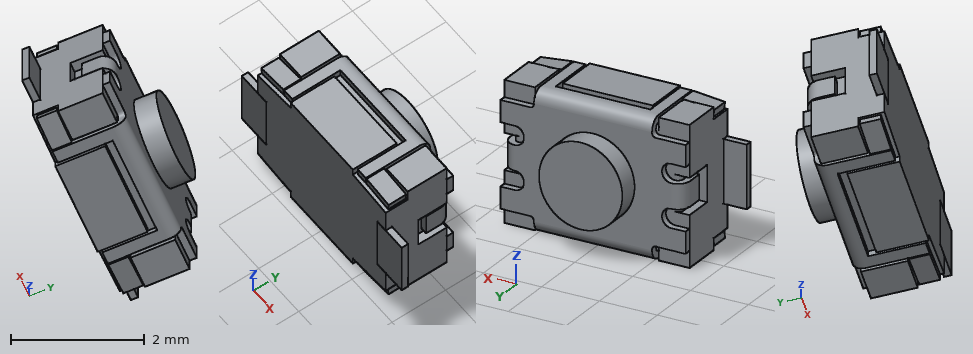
import cadquery as cq
import math


base_width = 3.2
base_height = 2.37
base_depth = 1.145
sheet = 0.12
bend_radius = 0.21

button_radius = 0.72
button_length = 0.37

terminal_tip_x = 2.0
terminal_length = 0.61
terminal_height = 1.07

corner_half_height = 0.9
corner_fillet = 0.07
notch_radius = 0.16

leg_half_width = 1.02
leg_end_y = 0.06
window_half_width = 0.815
window_top_y = 0.96

tab_half_height = 0.21
tab_inset = 0.04
tab_end_y = 0.785

flap_top_y = 0.39
flap_length = 0.555
flap_angle = math.radians(6)
fold_gap = 0.01
fold_web = 0.01

leg_slot_half_width = 1.07
tab_slot_half_height = 0.31
tab_slot_start_y = 0.61
block_half_width = 0.78
block_top_y = 0.82
flap_recess_depth_y = 0.41
recess_inner_z = 1.06
recess_outer_z = 0.985

half_width = base_width / 2
half_height = base_height / 2
cover_back_y = base_depth + sheet
tab_face_x = half_width - tab_inset
core_half_width = tab_face_x - sheet
core_half_height = half_height - sheet
inner_bend_radius = bend_radius - sheet


def centered_block(half_x, y_start, y_end, half_z):
    """Block centred on X = 0 and Z = 0 between two Y positions."""
    depth = y_end - y_start
    return cq.Workplane("XY").box(2 * half_x, depth, 2 * half_z).translate((0, y_start + depth / 2, 0))


def prism(outline, y_start, y_end):
    """Extrude a closed XZ outline between two Y positions."""
    return cq.Workplane("XZ", origin=(0, y_start, 0)).polyline(outline).close().extrude(y_start - y_end)


def in_four_corners(solid):
    """The solid together with its mirror copies about X = 0 and Z = 0."""
    both_sides = solid.union(solid.mirror("YZ"))
    return both_sides.union(both_sides.mirror("XY"))


def leg_core(half_x, y_start):
    """Rounded core that the inside of the cover legs wraps around."""
    core = centered_block(half_x, y_start, base_depth, core_half_height)
    return core.edges(">Y and |X").fillet(inner_bend_radius)


def tab_core(half_z, y_start):
    """Rounded core that the inside of the side tabs wraps around."""
    core = centered_block(core_half_width, y_start, base_depth, half_z)
    return core.edges(">Y and |Z").fillet(inner_bend_radius)


def raised_block():
    return centered_block(block_half_width, 0, block_top_y, half_height)


def leg_slots():
    slots = centered_block(leg_slot_half_width, flap_recess_depth_y, base_depth, half_height)
    return slots.cut(leg_core(leg_slot_half_width, flap_recess_depth_y)).cut(raised_block())


def tab_slots():
    slots = centered_block(half_width, tab_slot_start_y, base_depth, tab_slot_half_height)
    return slots.cut(tab_core(tab_slot_half_height, tab_slot_start_y))


def flap_recesses():
    outline = [
        (block_half_width, recess_inner_z),
        (half_width, recess_outer_z),
        (half_width, half_height),
        (block_half_width, half_height),
    ]
    return in_four_corners(prism(outline, 0, flap_recess_depth_y))


def make_base(terminals):
    base = centered_block(half_width, 0, base_depth, half_height)
    base = base.cut(leg_slots()).cut(tab_slots()).cut(flap_recesses())
    for terminal in terminals:
        base = base.cut(terminal)
    return base


def cover_plate():
    """Flat plate with relief notches beside the tabs and filleted inside corners by the legs."""
    tab_bend_x = tab_face_x - bend_radius
    leg_bend_z = half_height - bend_radius
    notch_center_z = tab_half_height + notch_radius
    notch_top_z = notch_center_z + notch_radius
    fillet_center = (leg_half_width + corner_fillet, corner_half_height + corner_fillet)
    fillet_reach = corner_fillet * math.sqrt(0.5)
    quarter = (
        cq.Workplane("XZ", origin=(0, base_depth, 0))
        .lineTo(tab_bend_x, 0)
        .lineTo(tab_bend_x, tab_half_height)
        .threePointArc((tab_bend_x - notch_radius, notch_center_z), (tab_bend_x, notch_top_z))
        .lineTo(half_width, notch_top_z)
        .lineTo(half_width, corner_half_height)
        .lineTo(fillet_center[0], corner_half_height)
        .threePointArc(
            (fillet_center[0] - fillet_reach, fillet_center[1] - fillet_reach),
            (leg_half_width, fillet_center[1]),
        )
        .lineTo(leg_half_width, leg_bend_z)
        .lineTo(0, leg_bend_z)
        .close()
        .extrude(-sheet)
    )
    return in_four_corners(quarter)


def cover_legs():
    legs = centered_block(leg_half_width, leg_end_y, cover_back_y, half_height)
    legs = legs.edges(">Y and |X").fillet(bend_radius)
    window = centered_block(window_half_width, leg_end_y, window_top_y, half_height)
    return legs.cut(leg_core(leg_half_width, leg_end_y)).cut(window)


def cover_tabs():
    tabs = centered_block(tab_face_x, tab_end_y, cover_back_y, tab_half_height)
    tabs = tabs.edges(">Y and |Z").fillet(bend_radius)
    return tabs.cut(tab_core(tab_half_height, tab_end_y))


def cover_flaps():
    """Flaps folded slightly inward, each joined to its leg by a thin web below an open groove."""
    start_x = leg_half_width + fold_gap

    def flap_point(along, outward):
        return (
            start_x + along * math.cos(flap_angle) + outward * math.sin(flap_angle),
            core_half_height - along * math.sin(flap_angle) + outward * math.cos(flap_angle),
        )

    outline = [
        (leg_half_width, core_half_height),
        flap_point(0, 0),
        flap_point(flap_length, 0),
        flap_point(flap_length, sheet),
        flap_point(0, sheet),
        flap_point(0, fold_web),
        (leg_half_width, core_half_height + fold_web),
    ]
    return in_four_corners(prism(outline, leg_end_y, flap_top_y))


def button():
    return cq.Workplane("XZ", origin=(0, cover_back_y, 0)).circle(button_radius).extrude(-button_length)


def make_cover():
    cover = cover_plate().union(cover_legs()).union(cover_tabs())
    return cover.union(cover_flaps()).union(button())


def make_terminal(side):
    """Flat terminal, flush with the Y = 0 face, on the side given by the sign of X."""
    center_x = side * (terminal_tip_x - terminal_length / 2)
    return cq.Workplane("XY").box(terminal_length, sheet, terminal_height).translate((center_x, sheet / 2, 0))


terminals = [make_terminal(side) for side in (-1, 1)]
base = make_base(terminals)
cover = make_cover()

result = cq.Compound.makeCompound([base.val(), cover.val(), *[terminal.val() for terminal in terminals]])